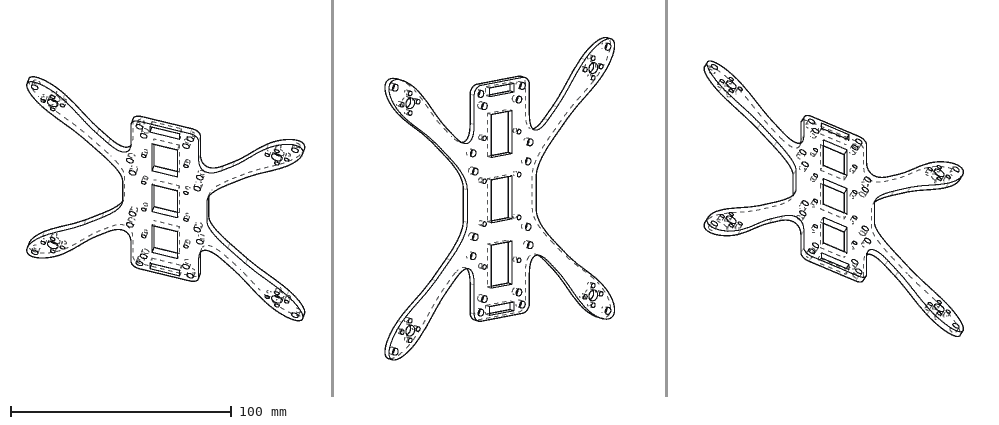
import cadquery as cq
import math

overall_span = 130.8
thickness = 3.0

body_width = 32.0
body_length = 110.1
corner_radius = 4.0
waist_width = 40.0
waist_flat_length = 15.2

neck_width = 8.8
motor_end_width = 13.6
motor_spacing = 106.0

waist_blend_along = 37.8
body_blend_along = 42.2
flare_along = 49.7

body_blend_pull = 0.59

shaft_hole_diameter = 5.0
motor_screw_diameter = 2.1
motor_screw_circle = 9.2

screw_diameter = 3.1
tip_hole_spacing = 123.2
corner_hole_spacing_x = 24.0
corner_hole_spacing_z = 102.0
end_hole_spacing_x = 20.0
end_hole_spacing_z = 90.0
outer_arm_hole_spacing_x = 33.1
outer_arm_hole_spacing_z = 48.0
inner_arm_hole_spacing = 30.6

board_hole_diameter = 2.1
board_hole_pitch = 20.0

window_width = 12.0
window_length = 20.0
window_pitch = 30.5
strap_slot_width = 14.0
strap_slot_length = 4.0
strap_slot_spacing = 102.0

half_body = body_width / 2
half_length = body_length / 2
half_waist = waist_width / 2
half_neck = neck_width / 2
half_motor_end = motor_end_width / 2
motor_distance = motor_spacing / 2 * math.sqrt(2)

tip_reach = overall_span / 2 * math.sqrt(2) - motor_distance
tip_length = math.sqrt(tip_reach**2 - half_motor_end**2)

OUTWARD = (1, 1)
INWARD = (-1, -1)


def on_arm(along, across):
    """Point at a distance along the 45 degree arm axis and across it, toward +X."""
    return ((along + across) / math.sqrt(2), (along - across) / math.sqrt(2))


def between(start, end, share):
    """Point a given share of the way from start to end."""
    return tuple(a + share * (b - a) for a, b in zip(start, end))


def quarter_plate():
    """The quarter of the plate with X > 0 and Z > 0, one arm included."""
    neck_edge_offset = half_neck * math.sqrt(2)
    waist_corner = (half_waist, half_waist - neck_edge_offset)
    waist_end = on_arm(waist_blend_along, half_neck)

    body_corner = (half_body, half_body + neck_edge_offset)
    body_blend_start = on_arm(body_blend_along, -half_neck)
    body_blend_end = (half_body, body_corner[1] + math.dist(body_blend_start, body_corner))
    neck_handle = between(body_blend_start, body_corner, body_blend_pull)
    body_handle = between(body_blend_end, body_corner, body_blend_pull)

    return (
        cq.Workplane("XZ", origin=(0, thickness / 2, 0))
        .lineTo(half_waist, 0)
        .lineTo(half_waist, waist_flat_length / 2)
        .bezier([waist_corner, waist_end], includeCurrent=True)
        .lineTo(*on_arm(flare_along, half_neck))
        .spline([on_arm(motor_distance, half_motor_end)], tangents=[OUTWARD, OUTWARD], includeCurrent=True)
        .ellipseArc(tip_length, half_motor_end, -90, 90, rotation_angle=45)
        .spline([on_arm(flare_along, -half_neck)], tangents=[INWARD, INWARD], includeCurrent=True)
        .lineTo(*body_blend_start)
        .bezier([neck_handle, body_handle, body_blend_end], includeCurrent=True)
        .lineTo(half_body, half_length - corner_radius)
        .radiusArc((half_body - corner_radius, half_length), -corner_radius)
        .lineTo(0, half_length)
        .close()
        .extrude(thickness)
    )


def plate():
    """Full outline, mirrored from one quarter, with rounded body corners."""
    quarter = quarter_plate()
    half = quarter.union(quarter.mirror("YZ"))
    return half.union(half.mirror("XY")).clean()


def drill(solid, points, diameter):
    """Through holes at the given (x, z) points."""
    cutter = cq.Workplane("XZ").pushPoints(points).circle(diameter / 2).extrude(thickness, both=True)
    return solid.cut(cutter)


def cut_rectangles(solid, points, width, length):
    """Rectangular through openings centred on the given (x, z) points."""
    cutter = cq.Workplane("XZ").pushPoints(points).rect(width, length).extrude(thickness, both=True)
    return solid.cut(cutter)


def four_points(spacing_x, spacing_z):
    """The corners of a rectangle centred on the frame."""
    return [(sx * spacing_x / 2, sz * spacing_z / 2) for sx in (-1, 1) for sz in (-1, 1)]


frame = plate()

screw_offset = motor_screw_circle / 2
for x, z in four_points(motor_spacing, motor_spacing):
    ring = [(x - screw_offset, z), (x + screw_offset, z), (x, z - screw_offset), (x, z + screw_offset)]
    frame = drill(frame, [(x, z)], shaft_hole_diameter)
    frame = drill(frame, ring, motor_screw_diameter)

for spacing_x, spacing_z in (
    (tip_hole_spacing, tip_hole_spacing),
    (corner_hole_spacing_x, corner_hole_spacing_z),
    (end_hole_spacing_x, end_hole_spacing_z),
    (outer_arm_hole_spacing_x, outer_arm_hole_spacing_z),
    (inner_arm_hole_spacing, inner_arm_hole_spacing),
):
    frame = drill(frame, four_points(spacing_x, spacing_z), screw_diameter)

for spacing_z in (board_hole_pitch, 3 * board_hole_pitch):
    frame = drill(frame, four_points(board_hole_pitch, spacing_z), board_hole_diameter)

window_centres = [(0, row * window_pitch) for row in (-1, 0, 1)]
frame = cut_rectangles(frame, window_centres, window_width, window_length)
slot_centres = [(0, side * strap_slot_spacing / 2) for side in (-1, 1)]
frame = cut_rectangles(frame, slot_centres, strap_slot_width, strap_slot_length)

result = frame